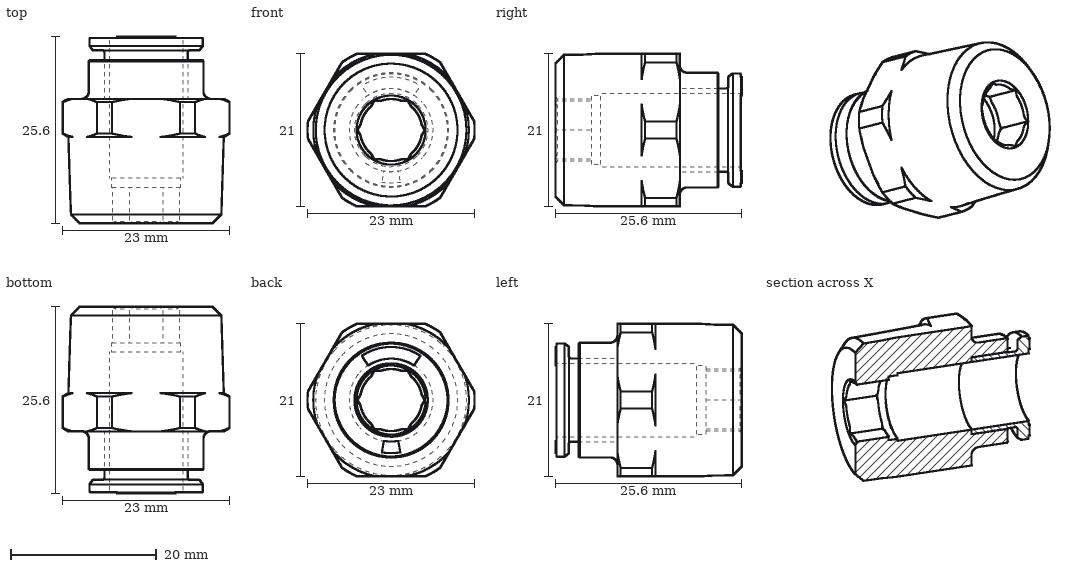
import cadquery as cq
import math


HEX_FLATS = 21.0
HEX_ROUND_RADIUS = 11.5
HEX_BOTTOM = 11.88
HEX_TOP = 17.12
HEX_CHAMFER_TOP_RADIUS = 10.7
SLOPE_30 = math.tan(math.radians(30))

THREAD_CHAMFER = 1.22
THREAD_TAPER = 1 / 32
FLAT_RUNOUT = 5.76

COLLAR_RADIUS = 7.9
COLLAR_FILLET = 1.0
COLLAR_TOP = 22.43
COLLAR_CHAMFER = 0.16

PASSAGE_RADIUS = 4.75
KEY_FLATS = 8.0
KEY_BORE_RADIUS = 4.25
KEY_DEPTH = 4.95
TUBE_SEAT = 6.25
TUBE_RADIUS = 5.05

SLEEVE_RADIUS = 5.74
SLEEVE_BOTTOM = HEX_TOP
NECK_FILLET = 0.25
FLANGE_RADIUS = 7.8
FLANGE_BOTTOM = 23.77
FLANGE_TOP = 25.5
RIM_FILLET = 0.18
FLANGE_BEVEL_HEIGHT = 0.63
FLANGE_BEVEL_WIDTH = 0.45
FOOT_FILLET = 0.3

PAD_TOP = 25.65
PAD_INNER_RADIUS = 5.7
PAD_OUTER_RADIUS = 7.3
UPPER_PAD_SPAN = 67.0
LOWER_PAD_SPAN = 20.0


def thread_radius(y):
    """Radius of the tapered thread envelope at height y."""
    return HEX_FLATS / 2 + (y - FLAT_RUNOUT) * THREAD_TAPER


def turned(profile):
    """Revolve a closed profile of (radius, y) around the Y axis."""
    return profile.close().revolve(360, (0, 0, 0), (0, 1, 0))


def plug(radius, bottom, top):
    """Solid cylinder on the Y axis."""
    return cq.Workplane("XZ", origin=(0, bottom, 0)).circle(radius).extrude(bottom - top)


def hex_prism(flats, bottom, top):
    """Hexagonal prism on the Y axis with corners on the X axis."""
    corner_diameter = flats / math.cos(math.radians(30))
    plane = cq.Workplane("XZ", origin=(0, bottom, 0))
    return plane.polygon(6, corner_diameter).extrude(bottom - top)


def body_outside():
    """Turned envelope; the hexagon flats also cut into the wide end of the thread."""
    thread_start = thread_radius(THREAD_CHAMFER)
    thread_end = thread_radius(HEX_BOTTOM)
    lower_chamfer = (HEX_ROUND_RADIUS - thread_end) * SLOPE_30
    upper_chamfer = (HEX_ROUND_RADIUS - HEX_CHAMFER_TOP_RADIUS) * SLOPE_30
    envelope = turned(
        cq.Workplane("XY")
        .lineTo(thread_start - THREAD_CHAMFER, 0)
        .lineTo(thread_start, THREAD_CHAMFER)
        .lineTo(thread_end, HEX_BOTTOM)
        .lineTo(HEX_ROUND_RADIUS, HEX_BOTTOM + lower_chamfer)
        .lineTo(HEX_ROUND_RADIUS, HEX_TOP - upper_chamfer)
        .lineTo(HEX_CHAMFER_TOP_RADIUS, HEX_TOP)
        .lineTo(COLLAR_RADIUS + COLLAR_FILLET, HEX_TOP)
        .radiusArc((COLLAR_RADIUS, HEX_TOP + COLLAR_FILLET), COLLAR_FILLET)
        .lineTo(COLLAR_RADIUS, COLLAR_TOP - COLLAR_CHAMFER)
        .lineTo(COLLAR_RADIUS - COLLAR_CHAMFER, COLLAR_TOP)
        .lineTo(0, COLLAR_TOP)
    )
    return envelope.intersect(hex_prism(HEX_FLATS, 0, COLLAR_TOP))


def entry_cone():
    """Countersink at the threaded end, running from the passage radius to a point."""
    return turned(
        cq.Workplane("XY")
        .lineTo(PASSAGE_RADIUS, 0)
        .lineTo(0, PASSAGE_RADIUS * SLOPE_30)
    )


def make_body():
    """Hexagon body with thread, key socket, tube bore and sleeve seat."""
    return (
        body_outside()
        .cut(entry_cone())
        .cut(hex_prism(KEY_FLATS, 0, KEY_DEPTH))
        .cut(plug(KEY_BORE_RADIUS, 0, KEY_DEPTH))
        .cut(plug(PASSAGE_RADIUS, KEY_DEPTH, TUBE_SEAT))
        .cut(plug(TUBE_RADIUS, TUBE_SEAT, COLLAR_TOP))
        .cut(plug(SLEEVE_RADIUS, SLEEVE_BOTTOM, COLLAR_TOP))
    )


def marking_pad(centre_angle, span):
    """Raised ring sector on the sleeve's end face; angles run from +X toward +Z."""
    def point(radius, angle):
        radians = math.radians(angle)
        return radius * math.cos(radians), radius * math.sin(radians)

    start = centre_angle - span / 2
    end = centre_angle + span / 2
    return (
        cq.Workplane("XZ", origin=(0, FLANGE_TOP, 0))
        .moveTo(*point(PAD_INNER_RADIUS, start))
        .lineTo(*point(PAD_OUTER_RADIUS, start))
        .threePointArc(point(PAD_OUTER_RADIUS, centre_angle), point(PAD_OUTER_RADIUS, end))
        .lineTo(*point(PAD_INNER_RADIUS, end))
        .threePointArc(point(PAD_INNER_RADIUS, centre_angle), point(PAD_INNER_RADIUS, start))
        .close()
        .extrude(FLANGE_TOP - PAD_TOP)
    )


def make_release_sleeve():
    """Flanged sleeve that slides in the body's collar."""
    bevel_angle = math.atan2(FLANGE_BEVEL_HEIGHT, FLANGE_BEVEL_WIDTH)
    bevel_foot = FLANGE_RADIUS - FLANGE_BEVEL_WIDTH
    foot_tangent = FOOT_FILLET * math.tan(bevel_angle / 2)
    foot_end = (
        bevel_foot + foot_tangent * math.cos(bevel_angle),
        FLANGE_BOTTOM + foot_tangent * math.sin(bevel_angle),
    )
    sleeve = turned(
        cq.Workplane("XY")
        .moveTo(TUBE_RADIUS, SLEEVE_BOTTOM)
        .lineTo(SLEEVE_RADIUS, SLEEVE_BOTTOM)
        .lineTo(SLEEVE_RADIUS, FLANGE_BOTTOM - NECK_FILLET)
        .radiusArc((SLEEVE_RADIUS + NECK_FILLET, FLANGE_BOTTOM), NECK_FILLET)
        .lineTo(bevel_foot - foot_tangent, FLANGE_BOTTOM)
        .radiusArc(foot_end, -FOOT_FILLET)
        .lineTo(FLANGE_RADIUS, FLANGE_BOTTOM + FLANGE_BEVEL_HEIGHT)
        .lineTo(FLANGE_RADIUS, FLANGE_TOP - RIM_FILLET)
        .radiusArc((FLANGE_RADIUS - RIM_FILLET, FLANGE_TOP), -RIM_FILLET)
        .lineTo(TUBE_RADIUS, FLANGE_TOP)
    )
    upper_pad = marking_pad(90, UPPER_PAD_SPAN)
    lower_pad = marking_pad(270, LOWER_PAD_SPAN)
    return sleeve.union(upper_pad).union(lower_pad)


body = make_body()
release_sleeve = make_release_sleeve()
result = cq.Compound.makeCompound([body.val(), release_sleeve.val()])